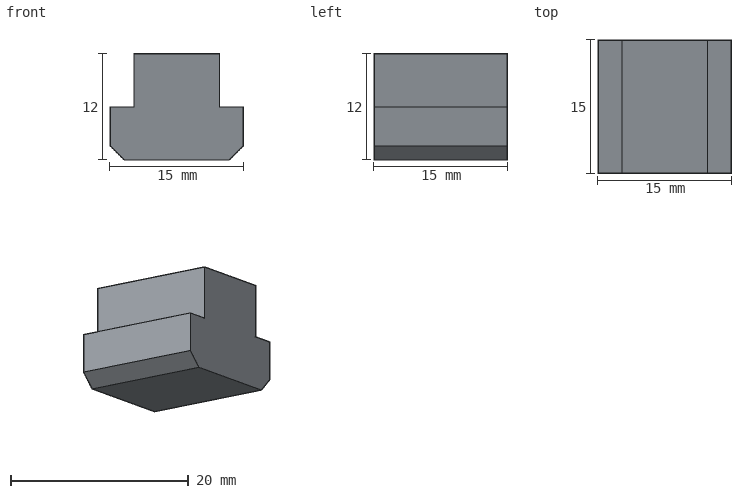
import cadquery as cq

length = 15.0
flange_width = 15.0
total_height = 12.0
flange_height = total_height / 2
neck_width = 9.65
bottom_chamfer = 1.6

flange = (
    cq.Workplane("XY")
    .box(flange_width, length, flange_height, centered=(True, True, False))
    .edges("|Y and <Z")
    .chamfer(bottom_chamfer)
)

neck = (
    cq.Workplane("XY")
    .workplane(offset=flange_height)
    .box(neck_width, length, total_height - flange_height, centered=(True, True, False))
)

result = flange.union(neck)